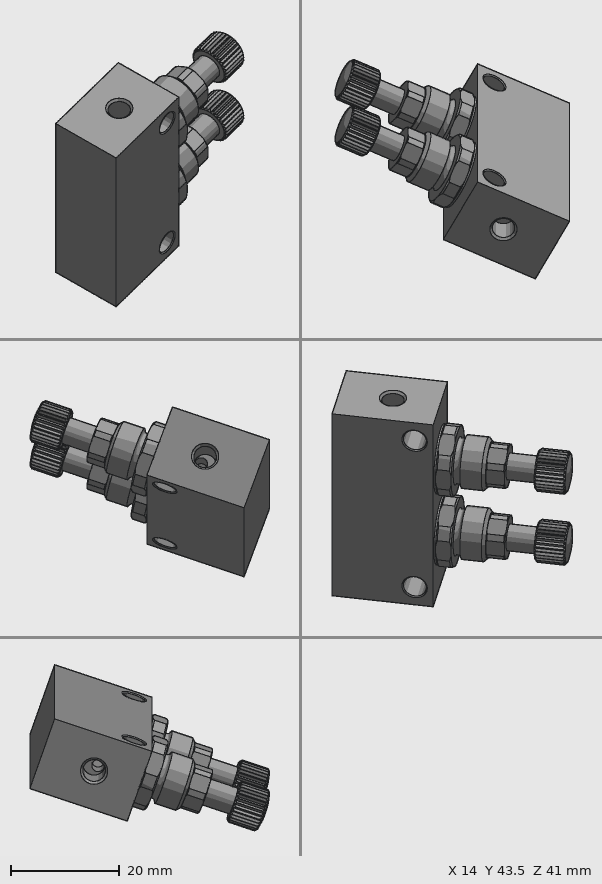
import cadquery as cq
import math

OVERALL_LENGTH = 43.5

BLOCK_WIDTH = 14.0
BLOCK_DEPTH = 18.95
BLOCK_HEIGHT = 41.0

PORT_DIAMETER = 4.15
PORT_MOUTH_DIAMETER = 5.0
PORT_DEPTH = 5.2
PORT_FROM_FRONT = 10.1
DRILLING_DIAMETER = 2.3
DRILLING_DEPTH = 3.5
DRILLING_OFFSET = 0.8
DRILL_POINT_ANGLE = 118.0

MOUNT_DIAMETER = 4.3
MOUNT_MOUTH_DIAMETER = 4.75
MOUNT_SPACING = 32.97
MOUNT_FROM_BACK = 3.5

VALVE_SPACING = 16.0
COLLAR_DIAMETER = 13.0
COLLAR_END = 0.35

HEX_CLOCKING = 30.0

LARGE_HEX_ACROSS_FLATS = 13.0
LARGE_HEX_CORNER_DIAMETER = 13.7
LARGE_HEX_END = 3.25
LARGE_HEX_CHAMFER = 0.3

NECK_DIAMETER = 8.5
NECK_FLARE_DIAMETER = 9.05
NECK_FLARE_LENGTH = 0.5
NECK_FLOOR_LENGTH = 0.15

BARREL_DIAMETER = 10.0
BARREL_START = 4.6
BARREL_BACK_CHAMFER = 0.65
BARREL_END = 9.25

SMALL_HEX_ACROSS_FLATS = 8.0
SMALL_HEX_CORNER_DIAMETER = 8.6
SMALL_HEX_END = 12.8
SMALL_HEX_CHAMFER = 0.17

STEM_DIAMETER = 5.0
STEM_END = 18.23

KNOB_DIAMETER = 8.0
KNOB_CHAMFER = 0.45
KNOB_RIM_END = 24.05
KNOB_TIP = OVERALL_LENGTH - BLOCK_DEPTH
KNURL_COUNT = 30
KNURL_DEPTH = 0.415
KNURL_ANGLE = 90.0


def revolve_profile(profile):
    """Turn a half profile, drawn as (radius, position), about the valve axis."""
    return profile.close().revolve(360, (0, 0, 0), (0, 1, 0))


def rod(diameter, start, end):
    """Cylinder on the valve axis between two positions."""
    return cq.Workplane("XZ", origin=(0, start, 0)).circle(diameter / 2).extrude(start - end)


def rounded_hex(across_flats, corner_diameter, start, end, chamfer):
    """Hexagon with two flats facing +X and -X, its corners turned round and chamfered."""
    radius = corner_diameter / 2
    blank = revolve_profile(
        cq.Workplane("XY")
        .moveTo(0, start)
        .lineTo(radius - chamfer, start)
        .lineTo(radius, start + chamfer)
        .lineTo(radius, end - chamfer)
        .lineTo(radius - chamfer, end)
        .lineTo(0, end)
    )
    prism = (
        cq.Workplane("XZ", origin=(0, start, 0))
        .transformed(rotate=(0, 0, HEX_CLOCKING))
        .polygon(6, across_flats / math.cos(math.radians(HEX_CLOCKING)))
        .extrude(start - end)
    )
    return blank.intersect(prism)


def make_barrel():
    """Round barrel with the necked groove that joins it to the large hexagon."""
    neck = NECK_DIAMETER / 2
    flare = NECK_FLARE_DIAMETER / 2
    barrel = BARREL_DIAMETER / 2
    flare_rise = flare - neck
    flare_radius = (NECK_FLARE_LENGTH**2 + flare_rise**2) / (2 * flare_rise)
    floor_start = LARGE_HEX_END + NECK_FLARE_LENGTH
    floor_end = floor_start + NECK_FLOOR_LENGTH
    flare_end = floor_end + NECK_FLARE_LENGTH
    return revolve_profile(
        cq.Workplane("XY")
        .moveTo(0, LARGE_HEX_END)
        .lineTo(flare, LARGE_HEX_END)
        .radiusArc((neck, floor_start), flare_radius)
        .lineTo(neck, floor_end)
        .radiusArc((flare, flare_end), flare_radius)
        .lineTo(barrel, BARREL_START)
        .lineTo(barrel, BARREL_END - BARREL_BACK_CHAMFER)
        .lineTo(barrel - BARREL_BACK_CHAMFER, BARREL_END)
        .lineTo(0, BARREL_END)
    )


def make_knob():
    """Domed adjusting knob with V grooves around its rim."""
    radius = KNOB_DIAMETER / 2
    rim = radius - KNOB_CHAMFER
    dome_height = KNOB_TIP - KNOB_RIM_END
    dome_radius = (rim**2 + dome_height**2) / (2 * dome_height)
    half_angle = math.asin(rim / dome_radius) / 2
    dome_middle = (
        dome_radius * math.sin(half_angle),
        KNOB_TIP - dome_radius * (1 - math.cos(half_angle)),
    )
    knob = revolve_profile(
        cq.Workplane("XY")
        .moveTo(0, STEM_END)
        .lineTo(rim, STEM_END)
        .lineTo(radius, STEM_END + KNOB_CHAMFER)
        .lineTo(radius, KNOB_RIM_END - KNOB_CHAMFER)
        .lineTo(rim, KNOB_RIM_END)
        .threePointArc(dome_middle, (0, KNOB_TIP))
    )
    root = radius - KNURL_DEPTH
    groove_height = 2 * KNURL_DEPTH
    groove_half_width = groove_height * math.tan(math.radians(KNURL_ANGLE / 2))
    groove = (
        cq.Workplane("XZ", origin=(0, STEM_END, 0))
        .moveTo(root, 0)
        .lineTo(root + groove_height, groove_half_width)
        .lineTo(root + groove_height, -groove_half_width)
        .close()
        .extrude(STEM_END - KNOB_TIP)
    )
    for index in range(KNURL_COUNT):
        angle = index * 360 / KNURL_COUNT
        knob = knob.cut(groove.rotate((0, 0, 0), (0, 1, 0), angle))
    return knob


def make_valve():
    """Complete needle valve along +Y, its collar seated at Y = 0."""
    large_hex = rounded_hex(
        LARGE_HEX_ACROSS_FLATS,
        LARGE_HEX_CORNER_DIAMETER,
        COLLAR_END,
        LARGE_HEX_END,
        LARGE_HEX_CHAMFER,
    )
    small_hex = rounded_hex(
        SMALL_HEX_ACROSS_FLATS,
        SMALL_HEX_CORNER_DIAMETER,
        BARREL_END,
        SMALL_HEX_END,
        SMALL_HEX_CHAMFER,
    )
    return (
        rod(COLLAR_DIAMETER, 0, COLLAR_END)
        .union(large_hex)
        .union(make_barrel())
        .union(small_hex)
        .union(rod(STEM_DIAMETER, SMALL_HEX_END, STEM_END))
        .union(make_knob())
    )


def make_port():
    """Cutter for the port in the top end of the block."""
    radius = PORT_DIAMETER / 2
    mouth = PORT_MOUTH_DIAMETER / 2
    top = BLOCK_HEIGHT / 2
    floor = top - PORT_DEPTH
    bore = (
        cq.Workplane("XZ")
        .moveTo(0, top)
        .lineTo(mouth, top)
        .lineTo(radius, top - (mouth - radius))
        .lineTo(radius, floor)
        .lineTo(0, floor)
        .close()
        .revolve(360, (0, 0, 0), (0, 1, 0))
    )
    drill = DRILLING_DIAMETER / 2
    point_length = drill / math.tan(math.radians(DRILL_POINT_ANGLE / 2))
    drilling_end = floor - DRILLING_DEPTH
    drilling = (
        cq.Workplane("XZ")
        .moveTo(0, floor)
        .lineTo(drill, floor)
        .lineTo(drill, drilling_end)
        .lineTo(0, drilling_end - point_length)
        .close()
        .revolve(360, (0, 0, 0), (0, 1, 0))
        .translate((0, DRILLING_OFFSET, 0))
    )
    return bore.union(drilling).translate((0, PORT_FROM_FRONT, 0))


def make_mount_hole():
    """Cutter along X through the block, countersunk at both sides."""
    radius = MOUNT_DIAMETER / 2
    mouth = MOUNT_MOUTH_DIAMETER / 2
    side = BLOCK_WIDTH / 2
    countersink = mouth - radius
    return (
        cq.Workplane("XY")
        .moveTo(-side, 0)
        .lineTo(-side, mouth)
        .lineTo(-side + countersink, radius)
        .lineTo(side - countersink, radius)
        .lineTo(side, mouth)
        .lineTo(side, 0)
        .close()
        .revolve(360, (0, 0, 0), (1, 0, 0))
        .translate((0, BLOCK_DEPTH - MOUNT_FROM_BACK, 0))
    )


block = cq.Workplane("XY").box(BLOCK_WIDTH, BLOCK_DEPTH, BLOCK_HEIGHT, centered=(True, False, True))

port = make_port()
block = block.cut(port).cut(port.mirror("XY"))

mount_hole = make_mount_hole()
for side in (-1, 1):
    block = block.cut(mount_hole.translate((0, 0, side * MOUNT_SPACING / 2)))

upper_valve = make_valve().translate((0, BLOCK_DEPTH, VALVE_SPACING / 2))
result = block.union(upper_valve).union(upper_valve.mirror("XY"))